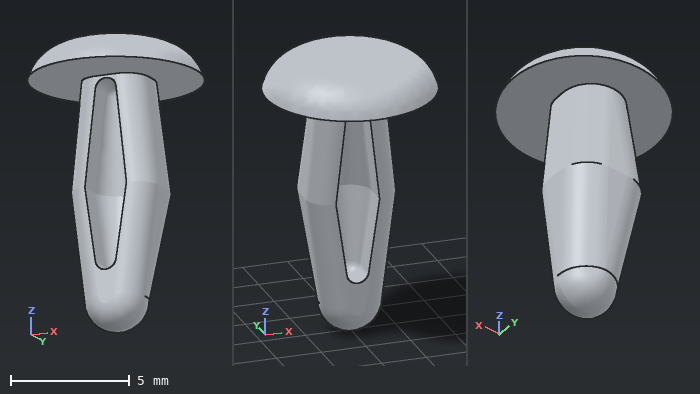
import cadquery as cq
import math

head_radius = 3.75
head_height = 1.5
head_flat_radius = 1.81

bulge_z = -4.81
tip_start_z = -9.62
front_radius = 1.0
rear_radius = 1.5
tip_radius = 1.38
min_edge = 0.002

neck_flat = 0.5
neck_rear_y = 0.5
bulge_flat = 1.0
bulge_rear_y = 0.9
tip_flat = tip_radius - front_radius

slot_top_z = -0.56
slot_bottom_z = -8.1
slot_end_radius = 0.49
slot_bulge_radius = 0.98
slot_mouth_y = -front_radius - 0.12


def make_head():
    """Flat-topped dome whose curve leaves the top tangentially."""
    run = head_radius - head_flat_radius
    curve_radius = (run**2 + head_height**2) / (2 * head_height)
    half_angle = math.asin(run / curve_radius) / 2
    middle = (
        head_flat_radius + curve_radius * math.sin(half_angle),
        head_height - curve_radius * (1 - math.cos(half_angle)),
    )
    return (
        cq.Workplane("XZ")
        .lineTo(head_radius, 0)
        .threePointArc(middle, (head_flat_radius, head_height))
        .lineTo(0, head_height)
        .close()
        .revolve(360, (0, 0), (0, 1))
    )


def shank_section(z, front_flat, rear_y, corner_width):
    """Closed section with two front roundings and two larger rear ones."""
    half_width = front_flat + front_radius
    rear_flat = half_width - corner_width
    diagonal = math.sqrt(0.5)
    front_x = front_flat + front_radius * diagonal
    front_y = -front_radius * diagonal
    rear_x = rear_flat + corner_width * diagonal
    rear_mid_y = rear_y + rear_radius * diagonal
    outline = (
        cq.Workplane("XY", origin=(0, 0, z))
        .moveTo(-front_flat, -front_radius)
        .lineTo(front_flat, -front_radius)
        .threePointArc((front_x, front_y), (half_width, 0))
        .lineTo(half_width, rear_y)
        .threePointArc((rear_x, rear_mid_y), (rear_flat, rear_y + rear_radius))
        .lineTo(-rear_flat, rear_y + rear_radius)
        .threePointArc((-rear_x, rear_mid_y), (-half_width, rear_y))
        .lineTo(-half_width, 0)
        .threePointArc((-front_x, front_y), (-front_flat, -front_radius))
        .close()
    )
    return outline.val()


def make_shank():
    """Two tapers that meet at the widest level."""
    neck = shank_section(0, neck_flat, neck_rear_y, rear_radius - min_edge)
    bulge = shank_section(bulge_z, bulge_flat, bulge_rear_y, rear_radius)
    tip = shank_section(tip_start_z, tip_flat, min_edge, tip_radius - min_edge)
    upper = cq.Solid.makeLoft([neck, bulge], True)
    lower = cq.Solid.makeLoft([bulge, tip], True)
    return cq.Workplane(upper).union(cq.Workplane(lower))


def make_tip():
    """Quarter-ellipsoid rear and a flat-faced, rounded front."""
    diagonal = math.sqrt(0.5)
    rear = (
        cq.Workplane("XY")
        .lineTo(tip_radius, 0)
        .threePointArc((tip_radius * diagonal, rear_radius * diagonal), (0, rear_radius))
        .close()
        .revolve(180, (0, 0), (0, 1))
    )
    arc_end = front_radius * diagonal
    front = (
        cq.Workplane("XY")
        .lineTo(0, -front_radius)
        .lineTo(tip_flat, -front_radius)
        .threePointArc((tip_flat + arc_end, -arc_end), (tip_radius, 0))
        .close()
        .revolve(180, (0, 0), (0, 1))
    )
    return rear.union(front).translate((0, 0, tip_start_z))


def slot_section(z, radius):
    """Straight-sided mouth with a half-round back."""
    outline = (
        cq.Workplane("XY", origin=(0, 0, z))
        .moveTo(-radius, slot_mouth_y)
        .lineTo(radius, slot_mouth_y)
        .lineTo(radius, 0)
        .threePointArc((0, radius), (-radius, 0))
        .close()
    )
    return outline.val()


def make_slot():
    """Slot that widens toward the bulge and has round ends."""
    bulge = slot_section(bulge_z, slot_bulge_radius)
    slot = cq.Workplane("XY")
    for end_z in (slot_top_z, slot_bottom_z):
        end = slot_section(end_z, slot_end_radius)
        slot = slot.add(cq.Solid.makeLoft([end, bulge], True))
        taper = math.atan((slot_bulge_radius - slot_end_radius) / (bulge_z - end_z))
        round_radius = slot_end_radius / math.cos(taper)
        centre_z = end_z + slot_end_radius * math.tan(taper)
        round_end = (
            cq.Workplane("XZ", origin=(0, 0, centre_z))
            .circle(round_radius)
            .extrude(-slot_mouth_y)
        )
        ball = cq.Workplane("XY", origin=(0, 0, centre_z)).sphere(round_radius)
        slot = slot.add(round_end).add(ball)
    return slot.combine()


result = make_head().union(make_shank()).union(make_tip()).cut(make_slot())